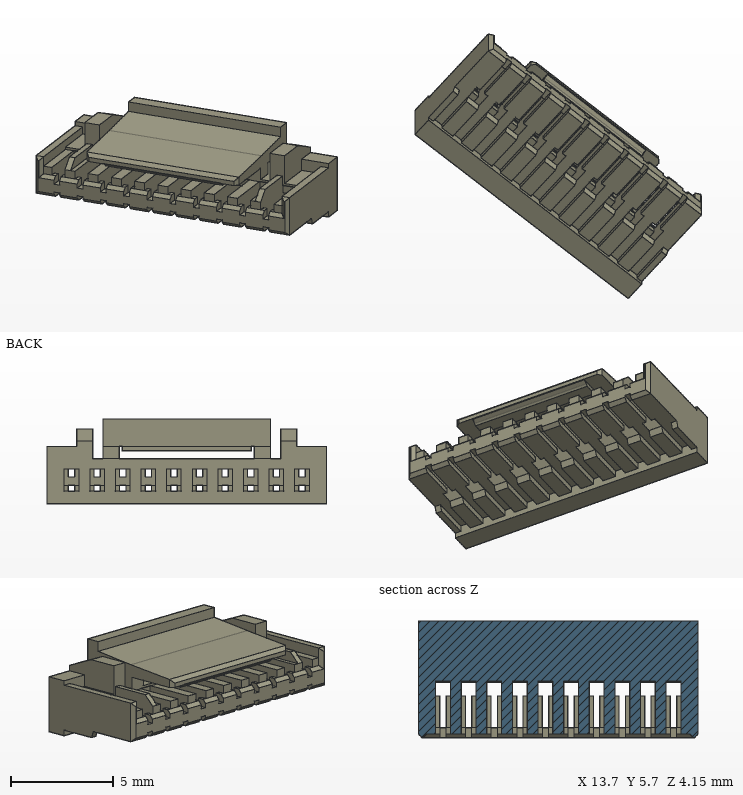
import cadquery as cq

length = 13.65
depth = 5.7
front_y = -depth / 2
back_y = depth / 2

contact_count = 10
contact_span = 11.25
pitch = contact_span / (contact_count - 1)
cavity_width = 0.71
slit_width = 0.3
contact_xs = [(i - (contact_count - 1) / 2) * pitch for i in range(contact_count)]

pad_z = 0.29
floor_z = 0.61
floor_top_z = 0.9
sill_z = 1.31
front_wall_z = 1.69
tooth_z = 2.09
body_z = 2.21
wall_z = 2.58
shoulder_z = 2.8
post_z = 3.66
bar_z = 4.15

flange_y = 1.83
rear_block_y = -0.15
pad_ramp_y = -0.03
window_y = -0.8
front_wall_y = -2.36
channel_back_y = -0.1

side_wall = 0.41
lead_in = 0.18
bevel_angle = 45
rim_y = front_y + lead_in

post_inner_x = 4.59
post_width = 0.79
post_outer_x = post_inner_x + post_width
post_slope_y = 1.38
post_back_z = 3.07
fin_width = 0.3
fin_slope_y = -2.15

lever_width = 8.19
lever_half = lever_width / 2
bar_depth = 0.71
lever_bend_y = -0.07
lever_bend_z = 3.43
lever_tip_z = 3.21
lever_bevel = 0.19
leg_width = 0.8
leg_depth = 0.82
catch_width = 6.3
catch_back_y = -1.83
catch_tip_y = -2.8
catch_bend_y = -2.61
catch_bend_z = 2.68
catch_bottom_y = -2.53
catch_bottom_z = 2.58


def box(x0, x1, y0, y1, z0, z1):
    """Axis-aligned block between two opposite corners."""
    return cq.Workplane("XY").box(x1 - x0, y1 - y0, z1 - z0, centered=False).translate((x0, y0, z0))


def profile(points, x0, x1):
    """Block with a (y, z) outline, running along X from x0 to x1."""
    return cq.Workplane("YZ").polyline(points).close().extrude(x1 - x0).translate((x0, 0, 0))


def with_mirror(solid):
    """The solid together with its mirror image across the middle plane."""
    return solid.union(solid.mirror("YZ"))


def make_body():
    """Rear block, base flange, comb block, side walls and rear shoulders, before the cavities."""
    half = length / 2
    inner = half - side_wall
    body = box(-half, half, rear_block_y, back_y, floor_z, body_z)
    body = body.union(box(-half, half, flange_y, back_y, 0, floor_z))
    body = body.union(box(-inner, inner, rim_y, rear_block_y, floor_z, tooth_z))
    wall = box(-half, -inner, rim_y, flange_y, floor_z, wall_z)
    shoulder = box(-half, -post_outer_x, flange_y, back_y, floor_z, shoulder_z)
    return body.union(with_mirror(wall.union(shoulder)))


def make_front_rim():
    """U-shaped mouth of the side walls and front wall, tapering towards the front."""
    rim_height = wall_z - floor_z
    rim = cq.Workplane("XZ", origin=(0, rim_y, floor_z + rim_height / 2))
    rim = rim.rect(length, rim_height).extrude(lead_in, taper=bevel_angle)

    mouth_width = length - 2 * side_wall + 2 * lead_in
    mouth_floor_z = front_wall_z - lead_in
    mouth_height = 2 * (wall_z - mouth_floor_z)
    mouth = cq.Workplane("XZ", origin=(0, front_y, mouth_floor_z + mouth_height / 2))
    mouth = mouth.rect(mouth_width, mouth_height).extrude(-lead_in, taper=bevel_angle)
    return rim.cut(mouth)


def make_pads():
    """Thickened floor strips under the contacts, with narrower ones at both ends."""
    outline = [(back_y, floor_z), (back_y, pad_z), (pad_ramp_y, pad_z), (rear_block_y, floor_z)]
    end_pad_width = length / 2 - (contact_count + 1) / 2 * pitch + cavity_width / 2
    pads = with_mirror(profile(outline, -length / 2, -length / 2 + end_pad_width))
    for x in contact_xs:
        pads = pads.union(profile(outline, x - cavity_width / 2, x + cavity_width / 2))
    return pads


def make_contact_cavity(x):
    """Everything removed for one contact: rear cavity, open channel, window and front slits."""
    wide0, wide1 = x - cavity_width / 2, x + cavity_width / 2
    slit0, slit1 = x - slit_width / 2, x + slit_width / 2
    rear = box(wide0, wide1, rear_block_y, back_y, floor_z, front_wall_z)
    channel = box(wide0, wide1, front_wall_y, channel_back_y, floor_top_z, tooth_z)
    over_front_wall = box(wide0, wide1, front_y, front_wall_y, front_wall_z, tooth_z)
    window = box(wide0, wide1, window_y, rear_block_y, floor_z, floor_top_z)
    floor_slit = box(slit0, slit1, front_y, window_y, floor_z, floor_top_z)
    front_slit = box(slit0, slit1, front_y, front_wall_y, sill_z, front_wall_z)
    cavity = rear
    for cutter in (channel, over_front_wall, window, floor_slit, front_slit):
        cavity = cavity.union(cutter)
    return cavity


def make_side_posts():
    """Tall posts beside the lever, sloping down at the back."""
    outline = [
        (rear_block_y, body_z), (back_y, body_z), (back_y, post_back_z),
        (post_slope_y, post_z), (rear_block_y, post_z),
    ]
    return with_mirror(profile(outline, -post_outer_x, -post_inner_x))


def make_fins():
    """Thin guide fins on the outer edge of the second tooth from each end."""
    outer_x = contact_xs[0] + cavity_width / 2
    outline = [(rear_block_y, tooth_z), (rear_block_y, wall_z), (fin_slope_y, wall_z), (rim_y, tooth_z)]
    return with_mirror(profile(outline, outer_x, outer_x + fin_width))


def make_lever():
    """Latch plate with a rear bar, held up by two legs, with a catch under its tip."""
    bar_y = back_y - bar_depth
    outline = [
        (back_y, shoulder_z), (back_y, bar_z), (bar_y, bar_z), (bar_y, post_z),
        (lever_bend_y, lever_bend_z), (rim_y, lever_tip_z),
        (front_y, lever_tip_z - lever_bevel), (front_y, shoulder_z),
    ]
    lever = profile(outline, -lever_half, lever_half)
    plan = [
        (-lever_half, back_y), (-lever_half, rim_y), (-lever_half + lever_bevel, front_y),
        (lever_half - lever_bevel, front_y), (lever_half, rim_y), (lever_half, back_y),
    ]
    lever = lever.intersect(cq.Workplane("XY").polyline(plan).close().extrude(bar_z))
    catch_outline = [
        (catch_back_y, shoulder_z), (catch_tip_y, shoulder_z),
        (catch_bend_y, catch_bend_z), (catch_bottom_y, catch_bottom_z), (catch_back_y, catch_bottom_z),
    ]
    catch = profile(catch_outline, -catch_width / 2, catch_width / 2)
    leg = box(
        -lever_half, -lever_half + leg_width,
        rear_block_y, rear_block_y + leg_depth, body_z, shoulder_z,
    )
    return lever.union(catch).union(with_mirror(leg))


housing = make_body().union(make_front_rim()).union(make_pads())
for contact_x in contact_xs:
    housing = housing.cut(make_contact_cavity(contact_x))

result = housing.union(make_side_posts()).union(make_fins()).union(make_lever())